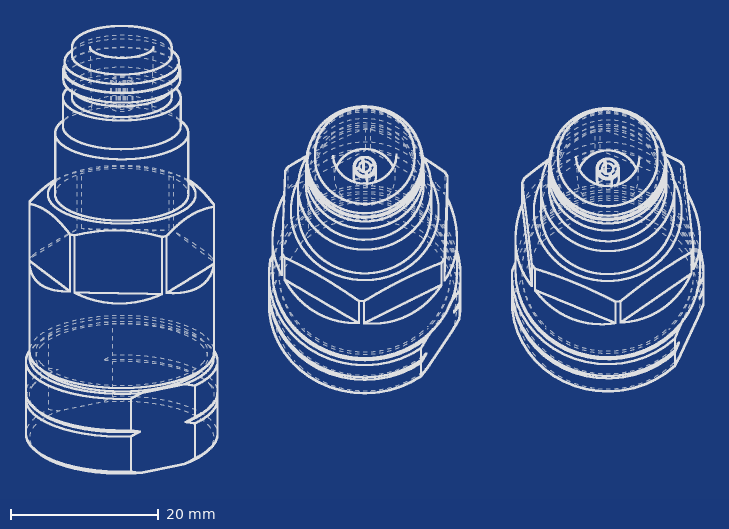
import cadquery as cq
import math

TOTAL_HEIGHT = 57.85
NUT_HEIGHT = 11.75

NUT_RADIUS = 26.0 / 2
NUT_FLAT_DISTANCE = 12.05
NUT_CHAMFER = 0.5
NUT_GROOVE_Z = 6.15
NUT_GROOVE_DEPTH = 0.45

NECK_RADIUS = 11.6
BARREL_RADIUS = 12.5
BARREL_BOTTOM_Z = 12.6

HEX_FLAT_DISTANCE = 11.0
HEX_BOTTOM_Z = 25.9
HEX_TOP_Z = 35.75
HEX_TOP_RADIUS = 10.0
HEX_SIDES = 6
HEX_BEVEL_ANGLE = 30.0
CUT_MARGIN = 2.9

SHANK_RADIUS = 9.0
SHANK_TOP_Z = 44.8
COLLAR_RADIUS = 8.0
COLLAR_TOP_Z = 50.05
UNDERCUT_RADIUS = 6.75
UNDERCUT_TOP_Z = 51.6
THREAD_BOTTOM_Z = 52.65
THREAD_STEP_Z = 54.05
THREAD_TOP_Z = 55.3
LIP_BOTTOM_Z = 56.3
THREAD_RADIUS = 7.9
THREAD_LEAD_RADIUS = 7.75
LIP_ROUND = 0.5

BORE_RADIUS = 4.3
BORE_FLOOR_RADIUS = 4.1
BORE_DEPTH = 9.25
BORE_LIP_ROUND = 0.5
CONTACT_RADIUS = 1.5
CONTACT_RECESS = 5.2
CONTACT_HOLE_RADIUS = 0.75
CONTACT_TIP_CHAMFER = 0.2
CONTACT_SLOT_WIDTH = 0.1
CONTACT_SLOT_ANGLES = (45.0, 135.0)

BEVEL_SLOPE = math.tan(math.radians(HEX_BEVEL_ANGLE))


def revolve_profile(points):
    """Revolve a closed (radius, z) outline about the vertical axis."""
    return cq.Workplane("XZ").polyline(points).close().revolve(360, (0, 0, 0), (0, 1, 0))


def make_nut():
    chamfer_radius = NUT_RADIUS - NUT_CHAMFER
    nut = revolve_profile([
        (0, 0),
        (chamfer_radius, 0),
        (NUT_RADIUS, NUT_CHAMFER),
        (NUT_RADIUS, NUT_GROOVE_Z - NUT_GROOVE_DEPTH),
        (NUT_RADIUS - NUT_GROOVE_DEPTH, NUT_GROOVE_Z),
        (NUT_RADIUS, NUT_GROOVE_Z + NUT_GROOVE_DEPTH),
        (NUT_RADIUS, NUT_HEIGHT - NUT_CHAMFER),
        (chamfer_radius, NUT_HEIGHT),
        (0, NUT_HEIGHT),
    ])
    between_flats = cq.Workplane("XY").box(
        2 * NUT_FLAT_DISTANCE, 2 * NUT_RADIUS, NUT_HEIGHT, centered=(True, True, False)
    )
    return nut.intersect(between_flats)


def make_outer_form():
    """Turned shape of the housing before the hexagon and the bore are cut."""
    hex_chamfer_z = HEX_TOP_Z - (BARREL_RADIUS - HEX_TOP_RADIUS) * BEVEL_SLOPE
    shank_chamfer = SHANK_RADIUS - COLLAR_RADIUS
    return revolve_profile([
        (0, NUT_HEIGHT),
        (NECK_RADIUS, NUT_HEIGHT),
        (NECK_RADIUS, BARREL_BOTTOM_Z),
        (BARREL_RADIUS, BARREL_BOTTOM_Z),
        (BARREL_RADIUS, hex_chamfer_z),
        (HEX_TOP_RADIUS, HEX_TOP_Z),
        (SHANK_RADIUS, HEX_TOP_Z),
        (SHANK_RADIUS, SHANK_TOP_Z),
        (COLLAR_RADIUS, SHANK_TOP_Z + shank_chamfer),
        (COLLAR_RADIUS, COLLAR_TOP_Z),
        (UNDERCUT_RADIUS, COLLAR_TOP_Z),
        (UNDERCUT_RADIUS, UNDERCUT_TOP_Z),
        (THREAD_RADIUS, THREAD_BOTTOM_Z),
        (THREAD_RADIUS, THREAD_STEP_Z),
        (THREAD_LEAD_RADIUS, THREAD_STEP_Z),
        (THREAD_LEAD_RADIUS, THREAD_TOP_Z),
        (UNDERCUT_RADIUS, LIP_BOTTOM_Z),
        (UNDERCUT_RADIUS, TOTAL_HEIGHT),
        (0, TOTAL_HEIGHT),
    ]).faces(">Z").edges().fillet(LIP_ROUND)


def make_hex_cutter():
    """Cutter for one hexagon flat on the +Y side, with a floor that slopes down outwards."""
    reach = BARREL_RADIUS + CUT_MARGIN
    floor_end_z = HEX_BOTTOM_Z - (reach - HEX_FLAT_DISTANCE) * BEVEL_SLOPE
    return (
        cq.Workplane("YZ")
        .polyline([
            (HEX_FLAT_DISTANCE, HEX_BOTTOM_Z),
            (reach, floor_end_z),
            (reach, HEX_TOP_Z),
            (HEX_FLAT_DISTANCE, HEX_TOP_Z),
        ])
        .close()
        .extrude(BARREL_RADIUS, both=True)
    )


def make_contact():
    """Slotted centre contact standing on the bore floor."""
    contact_height = BORE_DEPTH - CONTACT_RECESS
    contact = (
        cq.Workplane("XY", origin=(0, 0, TOTAL_HEIGHT - BORE_DEPTH))
        .circle(CONTACT_RADIUS)
        .circle(CONTACT_HOLE_RADIUS)
        .extrude(contact_height)
    )
    contact = contact.faces(">Z").edges(cq.selectors.RadiusNthSelector(-1)).chamfer(CONTACT_TIP_CHAMFER)
    for angle in CONTACT_SLOT_ANGLES:
        slot = (
            cq.Workplane("XY", origin=(0, 0, TOTAL_HEIGHT - BORE_DEPTH))
            .rect(2 * CONTACT_RADIUS, CONTACT_SLOT_WIDTH)
            .extrude(contact_height)
            .rotate((0, 0, 0), (0, 0, 1), angle)
        )
        contact = contact.cut(slot)
    return contact


def make_bore():
    """Cutter for the blind bore, tapering slightly inwards below a rounded rim."""
    bore_floor_z = TOTAL_HEIGHT - BORE_DEPTH
    return (
        cq.Workplane("XZ")
        .moveTo(0, bore_floor_z)
        .lineTo(BORE_FLOOR_RADIUS, bore_floor_z)
        .lineTo(BORE_RADIUS, TOTAL_HEIGHT - BORE_LIP_ROUND)
        .radiusArc((BORE_RADIUS + BORE_LIP_ROUND, TOTAL_HEIGHT), BORE_LIP_ROUND)
        .lineTo(0, TOTAL_HEIGHT)
        .close()
        .revolve(360, (0, 0, 0), (0, 1, 0))
    )


def make_housing():
    housing = make_outer_form()
    hex_cutter = make_hex_cutter()
    for side in range(HEX_SIDES):
        housing = housing.cut(hex_cutter.rotate((0, 0, 0), (0, 0, 1), side * 360 / HEX_SIDES))
    return housing.cut(make_bore().cut(make_contact()))


nut = make_nut()
housing = make_housing()
result = cq.Compound.makeCompound([nut.val(), housing.val()])